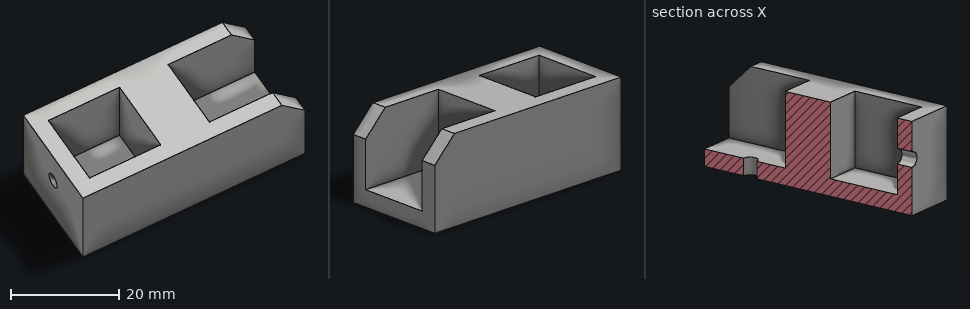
import cadquery as cq

width = 22.0
length = 47.5
height = 18.5

wall = 3.4
floor = 3.5
cavity_width = width - 2 * wall
cavity_depth = height - floor
slot_length = 18.5

bevel = 5.0

hole_diameter = 3.0
front_hole_drop = 7.5
floor_hole_inset = 10.5
floor_hole_x = -0.1



def make_block():
    block = cq.Workplane("XY").box(width, length, height, centered=(True, False, False))
    return block.faces(">Y").edges(">Z").chamfer(bevel)


def make_cavity(start_y, cavity_length):
    """Rectangular cutter from the floor up to the top face."""
    return (
        cq.Workplane("XY")
        .box(cavity_width, cavity_length, cavity_depth, centered=(True, False, False))
        .translate((0, start_y, floor))
    )


def make_front_hole():
    """Cutter through the front wall, into the pocket."""
    return (
        cq.Workplane("XZ")
        .center(0, height - front_hole_drop)
        .circle(hole_diameter / 2)
        .extrude(-wall)
    )


def make_floor_hole():
    """Cutter through the floor of the slot."""
    return (
        cq.Workplane("XY")
        .center(floor_hole_x, length - floor_hole_inset)
        .circle(hole_diameter / 2)
        .extrude(floor)
    )


pocket = make_cavity(wall, cavity_width)
slot = make_cavity(length - slot_length, slot_length)

result = make_block().cut(pocket).cut(slot).cut(make_front_hole()).cut(make_floor_hole())